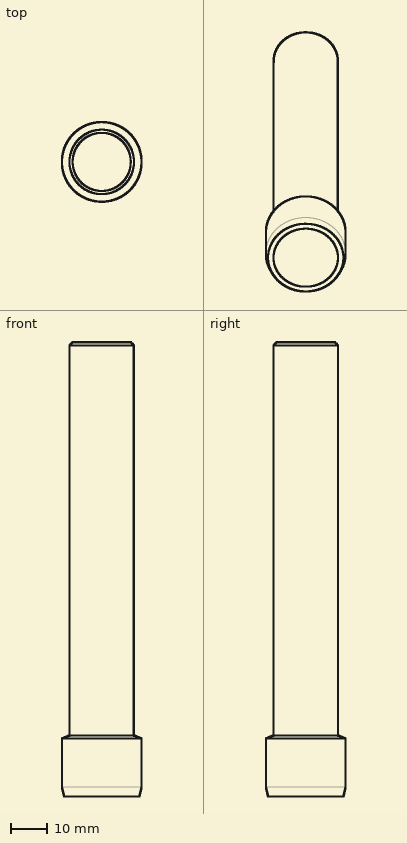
import cadquery as cq

pin_length = 125.0
pin_diameter = 17.8
pin_chamfer = 0.9

sleeve_diameter = 22.0
sleeve_height = 16.9
shoulder_height = 0.9
lead_in_height = 2.6
lead_in_inset = 0.6


def make_pin():
    """Full-length bar standing on Z = 0."""
    bar = cq.Workplane("XY").circle(pin_diameter / 2).extrude(pin_length)
    return bar.faces(">Z").chamfer(pin_chamfer)


def make_sleeve():
    """Ring revolved about Z, with its bore fitting the pin."""
    bore_radius = pin_diameter / 2
    outer_radius = sleeve_diameter / 2
    profile = (
        cq.Workplane("XZ")
        .moveTo(bore_radius, 0)
        .lineTo(outer_radius - lead_in_inset, 0)
        .lineTo(outer_radius, lead_in_height)
        .lineTo(outer_radius, sleeve_height - shoulder_height)
        .lineTo(bore_radius, sleeve_height)
        .close()
    )
    return profile.revolve(360, (0, 0, 0), (0, 1, 0))


pin = make_pin()
sleeve = make_sleeve()

result = cq.Compound.makeCompound([pin.val(), sleeve.val()])